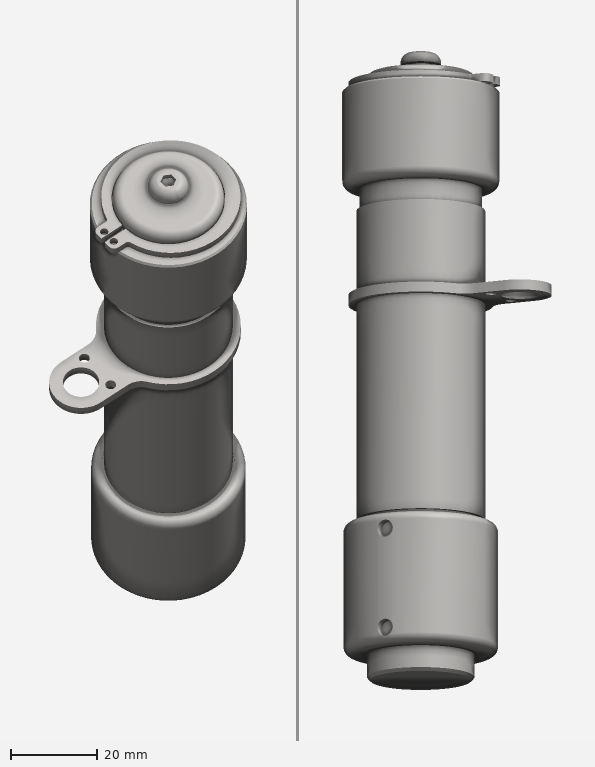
import cadquery as cq
import math

STUB_DIAMETER = 25.0
STUB_CHAMFER = 0.7
COLLAR_DIAMETER = 36.0
COLLAR_BOTTOM = 6.0
COLLAR_TOP = 37.0
COLLAR_FILLET = 2.0
RECESS_DIAMETER = 30.7
RECESS_DEPTH = 0.6
LOWER_NECK_DIAMETER = 28.0
TUBE_DIAMETER = 30.0
TUBE_BOTTOM = 37.9
TUBE_TOP = 111.1
UPPER_NECK_DIAMETER = 28.5
HEAD_DIAMETER = 36.5
HEAD_BOTTOM = 116.1
HEAD_TOP = 139.6
HEAD_FILLET = 2.1
HEAD_CHAMFER = 0.5
CAP_DIAMETER = 26.0
CAP_TOP = 143.7
CAP_FILLET = 2.2

DRAIN_DIAMETER = 4.0
DRAIN_DEPTH = 2.2
DRAIN_HEIGHTS = (9.5, 33.0)

OVERALL_HEIGHT = 148.5
SCREW_SHANK_DIAMETER = 5.0
SCREW_HEAD_DIAMETER = 9.5
SCREW_HEAD_BOTTOM = 145.7
SCREW_HEAD_RIM = 0.5
SCREW_TOP_DIAMETER = 5.2
SCREW_DOME_BULGE = 0.6
SOCKET_DIAMETER = 3.7
SOCKET_DEPTH = 1.3
SOCKET_TIP_DEPTH = 1.2

RING_INNER_DIAMETER = 26.5
RING_OUTER_DIAMETER = 32.4
RING_OFFSET_Y = 0.7
RING_THICKNESS = 2.0
RING_GAP = 1.3
LUG_SPAN = 7.5
LUG_REACH = 19.5
LUG_CORNER_RADIUS = 1.5
LUG_ROOT_FILLET = 0.9
LUG_HOLE_DIAMETER = 2.0
LUG_HOLE_OFFSET = 1.8
LUG_HOLE_Y = -17.7

PLATE_BOTTOM = 88.8
PLATE_THICKNESS = 2.4
PLATE_DIAMETER = 33.7
TAB_WIDTH = 14.8
TAB_EYE_Y = -26.0
TAB_ROOT_FILLET = 5.0
EYE_DIAMETER = 8.5
SIDE_HOLE_DIAMETER = 2.5
SIDE_HOLE_OFFSET = 4.9
SIDE_HOLE_Y = -21.1


def cylinder(diameter, bottom, top):
    """Upright cylinder on the Z axis between two heights."""
    return cq.Workplane("XY", origin=(0, 0, bottom)).circle(diameter / 2).extrude(top - bottom)


def make_stub():
    """Short chamfered stub below the collar."""
    return cylinder(STUB_DIAMETER, 0, COLLAR_BOTTOM).faces("<Z").chamfer(STUB_CHAMFER)


def make_collar():
    """Rounded lower collar with a shallow top recess and two blind drain holes."""
    collar = cylinder(COLLAR_DIAMETER, COLLAR_BOTTOM, COLLAR_TOP).edges().fillet(COLLAR_FILLET)
    collar = collar.cut(cylinder(RECESS_DIAMETER, COLLAR_TOP - RECESS_DEPTH, COLLAR_TOP))
    for height in DRAIN_HEIGHTS:
        drain = (
            cq.Workplane("YZ", origin=(-COLLAR_DIAMETER / 2, 0, height))
            .circle(DRAIN_DIAMETER / 2)
            .extrude(DRAIN_DEPTH)
        )
        collar = collar.cut(drain)
    return collar


def make_tube():
    """Main tube with a narrower neck at each end."""
    lower_neck = cylinder(LOWER_NECK_DIAMETER, COLLAR_TOP - RECESS_DEPTH, TUBE_BOTTOM)
    tube = cylinder(TUBE_DIAMETER, TUBE_BOTTOM, TUBE_TOP)
    upper_neck = cylinder(UPPER_NECK_DIAMETER, TUBE_TOP, HEAD_BOTTOM)
    return lower_neck.union(tube).union(upper_neck)


def make_head():
    """Upper head, rounded below and chamfered above, with a round-edged cap on top."""
    head = cylinder(HEAD_DIAMETER, HEAD_BOTTOM, HEAD_TOP)
    head = head.faces("<Z").edges().fillet(HEAD_FILLET)
    head = head.faces(">Z").edges().chamfer(HEAD_CHAMFER)
    cap = cylinder(CAP_DIAMETER, HEAD_TOP, CAP_TOP).faces(">Z").edges().fillet(CAP_FILLET)
    return head.union(cap)


def make_retaining_ring():
    """Split ring around the cap, with two drilled lugs on the -Y side."""
    ring_plane = cq.Workplane("XY", origin=(0, 0, HEAD_TOP))
    outer_circle = ring_plane.center(0, RING_OFFSET_Y).circle(RING_OUTER_DIAMETER / 2)
    ring = outer_circle.extrude(RING_THICKNESS)
    lugs = ring_plane.center(0, -LUG_REACH / 2).rect(LUG_SPAN, LUG_REACH).extrude(RING_THICKNESS)
    lugs = lugs.edges("|Z and <Y").fillet(LUG_CORNER_RADIUS)
    ring = ring.union(lugs)
    root_y = RING_OFFSET_Y - math.sqrt((RING_OUTER_DIAMETER / 2) ** 2 - (LUG_SPAN / 2) ** 2)
    for side in (-1, 1):
        root = cq.NearestToPointSelector((side * LUG_SPAN / 2, root_y, HEAD_TOP + RING_THICKNESS / 2))
        ring = ring.edges("|Z").edges(root).fillet(LUG_ROOT_FILLET)
    bore = ring_plane.circle(RING_INNER_DIAMETER / 2).extrude(RING_THICKNESS)
    gap = ring_plane.center(0, -LUG_REACH / 2).rect(RING_GAP, LUG_REACH).extrude(RING_THICKNESS)
    holes = (
        ring_plane.pushPoints([(side * LUG_HOLE_OFFSET, LUG_HOLE_Y) for side in (-1, 1)])
        .circle(LUG_HOLE_DIAMETER / 2)
        .extrude(RING_THICKNESS)
    )
    return ring.cut(bore).cut(gap).cut(holes)


def make_screw():
    """Button-head screw standing on the cap, with a hex socket ending in a cone."""
    head_radius = SCREW_HEAD_DIAMETER / 2
    top_radius = SCREW_TOP_DIAMETER / 2
    rim_top = SCREW_HEAD_BOTTOM + SCREW_HEAD_RIM
    screw = (
        cq.Workplane("XZ")
        .moveTo(0, CAP_TOP)
        .lineTo(SCREW_SHANK_DIAMETER / 2, CAP_TOP)
        .lineTo(SCREW_SHANK_DIAMETER / 2, SCREW_HEAD_BOTTOM)
        .lineTo(head_radius, SCREW_HEAD_BOTTOM)
        .lineTo(head_radius, rim_top)
        .sagittaArc((top_radius, OVERALL_HEIGHT), -SCREW_DOME_BULGE)
        .lineTo(0, OVERALL_HEIGHT)
        .close()
        .revolve(360, (0, 0, 0), (0, 1, 0))
    )
    socket = (
        cq.Workplane("XY", origin=(0, 0, OVERALL_HEIGHT))
        .polygon(6, SOCKET_DIAMETER)
        .extrude(-SOCKET_DEPTH)
    )
    socket_across_flats = SOCKET_DIAMETER * math.cos(math.pi / 6)
    socket_floor = cq.Vector(0, 0, OVERALL_HEIGHT - SOCKET_DEPTH)
    tip = cq.Solid.makeCone(socket_across_flats / 2, 0, SOCKET_TIP_DEPTH, socket_floor, cq.Vector(0, 0, -1))
    return screw.cut(socket).cut(cq.Workplane(tip))


def make_housing():
    """All the coaxial sections joined into one solid."""
    housing = make_stub()
    for section in (make_collar(), make_tube(), make_head(), make_retaining_ring(), make_screw()):
        housing = housing.union(section)
    return housing


def make_lanyard_plate():
    """Flat ring fitted on the tube, with a rounded tab that carries an eye and two small holes."""
    plate_plane = cq.Workplane("XY", origin=(0, 0, PLATE_BOTTOM))
    half_width = TAB_WIDTH / 2
    plate = plate_plane.circle(PLATE_DIAMETER / 2).extrude(PLATE_THICKNESS)
    tab = (
        plate_plane.moveTo(-half_width, 0)
        .lineTo(-half_width, TAB_EYE_Y)
        .threePointArc((0, TAB_EYE_Y - half_width), (half_width, TAB_EYE_Y))
        .lineTo(half_width, 0)
        .close()
        .extrude(PLATE_THICKNESS)
    )
    plate = plate.union(tab)
    root_y = -math.sqrt((PLATE_DIAMETER / 2) ** 2 - half_width**2)
    for side in (-1, 1):
        root = cq.NearestToPointSelector((side * half_width, root_y, PLATE_BOTTOM + PLATE_THICKNESS / 2))
        plate = plate.edges("|Z").edges(root).fillet(TAB_ROOT_FILLET)
    eye = plate_plane.center(0, TAB_EYE_Y).circle(EYE_DIAMETER / 2).extrude(PLATE_THICKNESS)
    side_holes = (
        plate_plane.pushPoints([(side * SIDE_HOLE_OFFSET, SIDE_HOLE_Y) for side in (-1, 1)])
        .circle(SIDE_HOLE_DIAMETER / 2)
        .extrude(PLATE_THICKNESS)
    )
    bore = plate_plane.circle(TUBE_DIAMETER / 2).extrude(PLATE_THICKNESS)
    return plate.cut(eye).cut(side_holes).cut(bore)


housing = make_housing()
lanyard_plate = make_lanyard_plate()

result = cq.Compound.makeCompound([housing.val(), lanyard_plate.val()])